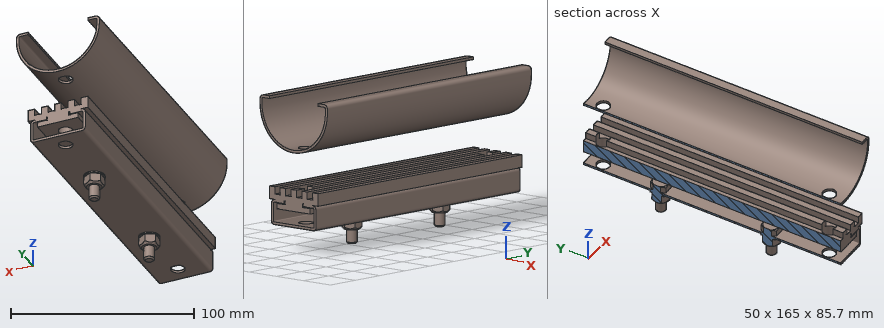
import cadquery as cq
import math

length = 165.0
sheet = 1.5
end_hole_diameter = 8.0
end_hole_inset = 10.0

trough_radius = 25.0
trough_side = 2.1
trough_bend = 2.5
trough_opening = 36.0
trough_gap = 20.4

rail_width = 33.0
rail_height = 14.0
rail_top_bend = 2.5
rail_bottom_bend = 2.0
rail_opening = 14.0

pad_width = 36.0
pad_block_height = 7.0
rib_count = 5
groove_width = 4.0
groove_depth = 4.0
clip_clearance = 0.5
pad_foot_width = 24.5
pad_foot_height = 3.0

bolt_offset = 35.5
bolt_diameter = 6.0
bolt_protrusion = 14.65
bolt_tip_chamfer = 0.9
hex_across_flats = 10.0
head_height = 4.0
head_face_diameter = 9.5
head_chamfer_angle = 30.0
washer_diameter = 12.0
washer_thickness = 0.8
nut_height = 5.9
nut_face_diameter = 8.4
nut_chamfer_angle = 45.0

hex_across_corners = hex_across_flats / math.cos(math.radians(30))
pad_top = rail_height + pad_block_height
trough_bottom = pad_top + trough_gap
trough_axis = trough_bottom + trough_radius
rib_width = (pad_width - (rib_count - 1) * groove_width) / rib_count
rib_pitch = rib_width + groove_width
end_hole_points = [(0, y) for y in (-length / 2 + end_hole_inset, length / 2 - end_hole_inset)]


def extrude_along_y(sketch):
    """Extrude an XZ outline over the full length, centred on Y = 0."""
    return sketch.extrude(length / 2, both=True)


def block(width, bottom, height, x=0.0):
    """Full-length rectangular bar centred on x."""
    bar = cq.Workplane("XY").box(width, length, height, centered=(True, True, False))
    return bar.translate((x, 0, bottom))


def drill_end_holes(body):
    """Drill the two vertical holes near the ends right through a body."""
    drill = cq.Workplane("XY").pushPoints(end_hole_points).circle(end_hole_diameter / 2)
    drills = drill.extrude(trough_axis)
    return body.cut(drills)


def trough_fill(inset):
    """Solid rounded shape of the trough, its outline moved inwards by inset."""
    radius = trough_radius - inset
    bend = trough_bend - inset
    bend_axis = trough_axis + trough_side
    top = bend_axis + bend
    diagonal = bend * math.sin(math.radians(45))
    flat = radius - bend
    outline = (
        cq.Workplane("XZ")
        .moveTo(-radius, trough_axis)
        .threePointArc((0, trough_axis - radius), (radius, trough_axis))
        .lineTo(radius, bend_axis)
        .threePointArc((flat + diagonal, bend_axis + diagonal), (flat, top))
        .lineTo(-flat, top)
        .threePointArc((-flat - diagonal, bend_axis + diagonal), (-radius, bend_axis))
        .close()
    )
    return extrude_along_y(outline)


def make_trough():
    shell = trough_fill(0).cut(trough_fill(sheet))
    opening = block(trough_opening, trough_axis, trough_radius)
    return drill_end_holes(shell.cut(opening))


def make_channel():
    tube = (
        block(rail_width, 0, rail_height)
        .edges("|Y and >Z").fillet(rail_top_bend)
        .edges("|Y and <Z").fillet(rail_bottom_bend)
    )
    cavity = (
        block(rail_width - 2 * sheet, sheet, rail_height - 2 * sheet)
        .edges("|Y and >Z").fillet(rail_top_bend - sheet)
        .edges("|Y and <Z").fillet(rail_bottom_bend - sheet)
    )
    opening = block(rail_opening, rail_height - sheet, sheet)
    return tube.cut(cavity).cut(opening)


def make_pad():
    foot_top = rail_height - sheet - clip_clearance
    foot = block(pad_foot_width, foot_top - pad_foot_height, pad_foot_height)
    neck = block(rail_opening - 2 * clip_clearance, foot_top, rail_height - foot_top)
    pad = block(pad_width, rail_height, pad_block_height).union(neck).union(foot)
    for i in range(rib_count - 1):
        groove_x = (i - (rib_count - 2) / 2) * rib_pitch
        pad = pad.cut(block(groove_width, pad_top - groove_depth, groove_depth, groove_x))
    return pad


def chamfered_hexagon(height, face_diameter, chamfer_angle, turn):
    """Hexagonal prism standing on Z = 0, its top corners cut by a cone."""
    prism = cq.Workplane("XY").polygon(6, hex_across_corners).extrude(height)
    prism = prism.rotate((0, 0, 0), (0, 0, 1), turn)
    face_radius = face_diameter / 2
    outer_radius = hex_across_corners
    cone_drop = (outer_radius - face_radius) * math.tan(math.radians(chamfer_angle))
    envelope = (
        cq.Workplane("XZ")
        .moveTo(0, height)
        .lineTo(face_radius, height)
        .lineTo(outer_radius, height - cone_drop)
        .lineTo(outer_radius, -height)
        .lineTo(0, -height)
        .close()
        .revolve(360, (0, 0, 0), (0, 1, 0))
    )
    return prism.intersect(envelope)


def make_fastener():
    """Bolt head on the rail floor, with shank, washer and nut below it."""
    head = chamfered_hexagon(head_height, head_face_diameter, head_chamfer_angle, 0)
    head = head.translate((0, 0, sheet))
    shank = (
        cq.Workplane("XY").workplane(offset=sheet)
        .circle(bolt_diameter / 2).extrude(-sheet - bolt_protrusion)
        .faces("<Z").chamfer(bolt_tip_chamfer)
    )
    washer = cq.Workplane("XY").circle(washer_diameter / 2).extrude(-washer_thickness)
    nut = chamfered_hexagon(nut_height, nut_face_diameter, nut_chamfer_angle, 30)
    nut = nut.rotate((0, 0, 0), (1, 0, 0), 180).translate((0, 0, -washer_thickness))
    return head.union(shank).union(washer).union(nut)


def make_pad_rail():
    body = drill_end_holes(make_channel().union(make_pad()))
    for y in (-bolt_offset, bolt_offset):
        body = body.union(make_fastener().translate((0, y, 0)))
    return body


trough = make_trough()
pad_rail = make_pad_rail()
result = cq.Compound.makeCompound([trough.val(), pad_rail.val()])